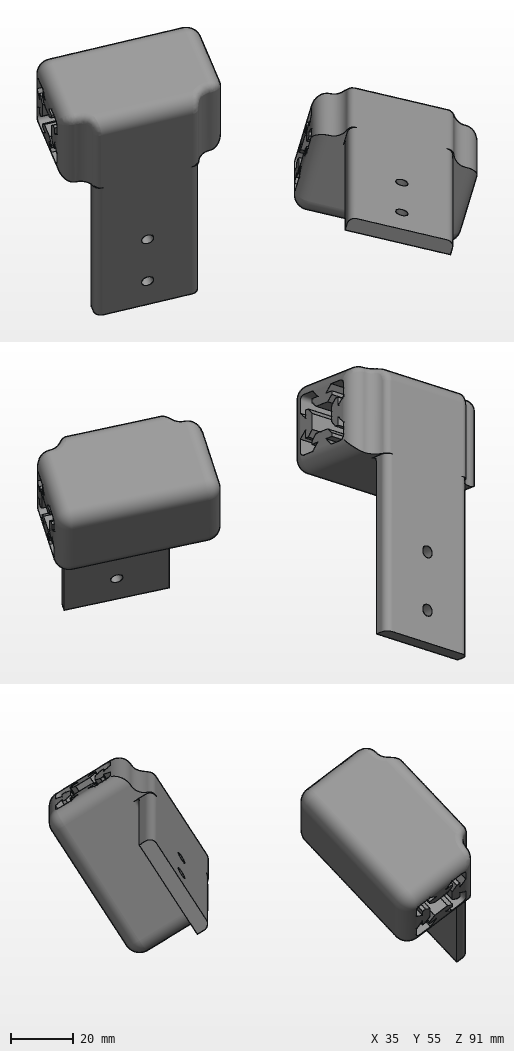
import cadquery as cq
import math

block_x = 30.0
block_y = 55.0
block_z = 30.0
outer_round = 5.0

total_height = 91.0
plate_thickness = 5.0
plate_width = block_y - 4 * outer_round
plate_edge_round = outer_round / 2
neck_round = 2.0
plate_outer_x = block_x + plate_thickness

hole_diameter = 4.0
hole_spacing = 20.0
lowest_hole_height = 11.2

socket_size = 20.75
socket_corner_round = 1.7
key_base_half_width = 4.5
key_neck_half_width = 2.0
key_head_half_width = 4.8
key_tip_half_width = 2.7
key_neck_depth = 2.55
key_head_depth = 3.8
key_tip_depth = 5.7


def make_plan():
    """Plan of the block with the plate flared into its +X face by concave arcs."""
    half_y = block_y / 2
    corner_y = half_y - outer_round
    plate_y = plate_width / 2
    corner_x = block_x - outer_round
    diagonal = outer_round * math.sqrt(0.5)
    return (
        cq.Workplane("XY")
        .moveTo(0, -half_y)
        .lineTo(corner_x, -half_y)
        .threePointArc((corner_x + diagonal, -corner_y - diagonal), (block_x, -corner_y))
        .threePointArc((plate_outer_x - diagonal, -corner_y + diagonal), (plate_outer_x, -plate_y))
        .lineTo(plate_outer_x, plate_y)
        .threePointArc((plate_outer_x - diagonal, corner_y - diagonal), (block_x, corner_y))
        .threePointArc((corner_x + diagonal, corner_y + diagonal), (corner_x, half_y))
        .lineTo(0, half_y)
        .close()
    )


def make_block():
    """Rounded block including the upper part of the plate."""
    bar = (
        cq.Workplane("XY")
        .box(2 * block_x, block_y, block_z, centered=(False, True, False))
        .translate((0, 0, -block_z))
        .edges("<X or |X")
        .fillet(outer_round)
    )
    block = bar.intersect(make_plan().extrude(-block_z))
    block = block.edges(">X and >Z").fillet(outer_round)
    return block.faces(">X").edges("|Z").fillet(plate_edge_round)


def make_plate():
    """Plate below the block, with a concave round where it meets the block's underside."""
    drop = total_height - block_z
    plate = (
        cq.Workplane("XY", origin=(block_x, 0, -total_height))
        .box(plate_thickness, plate_width, drop, centered=(False, True, False))
        .edges(">X and |Z")
        .fillet(plate_edge_round)
    )
    neck = (
        cq.Workplane("XZ", origin=(0, plate_width / 2, -block_z))
        .moveTo(block_x, 0)
        .lineTo(block_x, -neck_round)
        .radiusArc((block_x - neck_round, 0), -neck_round)
        .close()
        .extrude(plate_width)
    )
    return plate.union(neck)


def make_key():
    """T-shaped key on the socket's lower wall."""
    right_side = [
        (key_base_half_width, 0),
        (key_neck_half_width, key_neck_depth),
        (key_head_half_width, key_neck_depth),
        (key_head_half_width, key_head_depth),
        (key_tip_half_width, key_tip_depth),
    ]
    left_side = [(-x, depth) for x, depth in reversed(right_side)]
    return (
        cq.Workplane("XZ", origin=(0, block_y / 2, -socket_size / 2))
        .polyline(right_side + left_side)
        .close()
        .extrude(block_y)
    )


def make_socket():
    """Negative of the socket: a rounded square bar without the four keys."""
    socket = (
        cq.Workplane("XY")
        .box(socket_size, block_y, socket_size)
        .edges("|Y")
        .fillet(socket_corner_round)
    )
    for quarter_turn in range(4):
        key = make_key().rotate((0, 0, 0), (0, 1, 0), 90 * quarter_turn)
        socket = socket.cut(key)
    return socket.translate((block_x / 2, 0, -block_z / 2))


def make_screw_holes():
    lowest_z = lowest_hole_height - total_height
    return (
        cq.Workplane("YZ", origin=(block_x, 0, 0))
        .pushPoints([(0, lowest_z), (0, lowest_z + hole_spacing)])
        .circle(hole_diameter / 2)
        .extrude(plate_thickness)
    )


result = make_block().union(make_plate()).cut(make_socket()).cut(make_screw_holes())